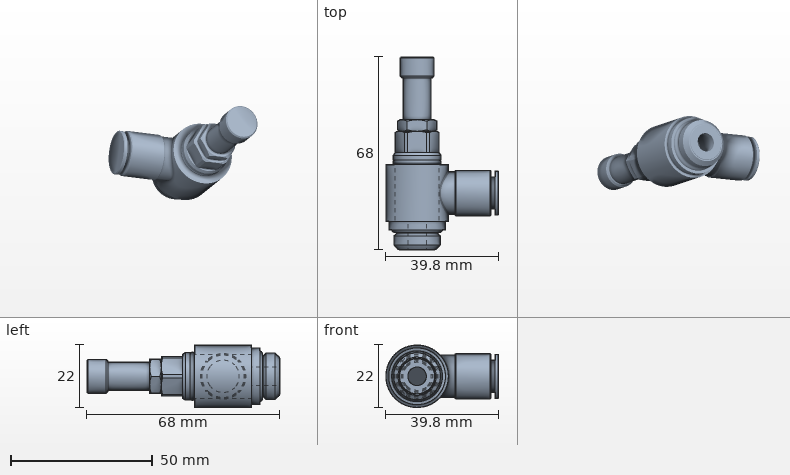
import cadquery as cq
import math


housing_radius = 11.0
housing_start = 10.0
housing_length = 20.0
housing_end = housing_start + housing_length
branch_y = housing_start + housing_length / 2

neck_radius = 7.55
neck_fillet = 0.35
socket_radius = 8.0
socket_start = 13.3
socket_end = 26.05
socket_chamfer = 0.35
release_stem_radius = 5.7
release_flange_radius = 7.75
release_flange_start = 27.55
release_flange_chamfer = 0.3
branch_end = 28.75

thread_radius = 8.2
end_face_radius = 6.7
end_boss_radius = 6.3
end_boss_height = 0.15
end_chamfer_length = 1.8
relief_radius = 7.2
relief_start = 5.85
relief_chamfer = thread_radius - relief_radius
flange_radius = 10.0
flange_start = 7.0
seal_ring_radius = 7.75
seal_ring_y = 7.3
seal_section_radius = 1.2

collar_radius = 8.4
journal_radius = 7.75
bead_radius = 8.5
collar_start = 31.55
collar_chamfer_start = 33.2
collar_face_radius = 7.75
collar_end = 34.3

large_hex_flats = 14.0
large_hex_corner_radius = 7.75
small_hex_flats = 12.05
small_hex_corner_radius = small_hex_flats / math.sqrt(3)
large_hex_end = 41.75
small_hex_end = 45.8
hex_chamfer_slope = math.tan(math.radians(30))

stem_radius = 4.95
knob_radius = 6.0
knob_start = 60.6
knob_inner_chamfer = 0.6
knob_outer_chamfer = 0.5
spindle_length = 68.0

bore_radius = 3.25
bore_depth = housing_start


def cylinder_y(radius, start, end):
    """Cylinder about the Y axis from y = start to y = end."""
    return cq.Workplane("XZ", origin=(0, start, 0)).circle(radius).extrude(start - end)


def turn_about_y(profile):
    """Revolve a closed (radius, y) profile about the Y axis."""
    return profile.close().revolve(360, (0, 0, 0), (0, 1, 0))


def hex_section(flats, corner_radius, start, end, chamfer_start):
    """Hexagonal prism along Y, flats facing +/-Z, turned to the corner radius and chamfered."""
    across_corners = 2 * flats / math.sqrt(3)
    prism = cq.Workplane("XZ", origin=(0, start, 0)).polygon(6, across_corners).extrude(start - end)
    chamfer_radius = flats / 2
    chamfer_length = (corner_radius - chamfer_radius) * hex_chamfer_slope
    envelope = cq.Workplane("XY").moveTo(0, start)
    if chamfer_start:
        envelope = envelope.lineTo(chamfer_radius, start)
        envelope = envelope.lineTo(corner_radius, start + chamfer_length)
    else:
        envelope = envelope.lineTo(corner_radius, start)
    envelope = envelope.lineTo(corner_radius, end - chamfer_length)
    envelope = envelope.lineTo(chamfer_radius, end)
    envelope = envelope.lineTo(0, end)
    return prism.intersect(turn_about_y(envelope))


def make_branch_socket():
    """Push-in socket with its release collar, turned about the branch axis."""
    return (
        cq.Workplane("XY", origin=(0, branch_y, 0))
        .moveTo(socket_start, 0)
        .lineTo(socket_start, socket_radius - socket_chamfer)
        .lineTo(socket_start + socket_chamfer, socket_radius)
        .lineTo(socket_end - socket_chamfer, socket_radius)
        .lineTo(socket_end, socket_radius - socket_chamfer)
        .lineTo(socket_end, release_stem_radius)
        .lineTo(release_flange_start, release_stem_radius)
        .lineTo(release_flange_start, release_flange_radius)
        .lineTo(branch_end - release_flange_chamfer, release_flange_radius)
        .lineTo(branch_end, release_flange_radius - release_flange_chamfer)
        .lineTo(branch_end, 0)
        .close()
        .revolve(360, (0, 0, 0), (1, 0, 0))
    )


def make_housing():
    """Sleeve and filleted branch neck with its socket, bored for the spindle journal."""
    sleeve = cylinder_y(housing_radius, housing_start, housing_end)
    neck = cq.Workplane("YZ", origin=(0, branch_y, 0)).circle(neck_radius).extrude(socket_start)
    neck_root_point = (math.sqrt(housing_radius**2 - neck_radius**2), branch_y, neck_radius)
    body = sleeve.union(neck)
    body = body.edges(cq.selectors.NearestToPointSelector(neck_root_point)).fillet(neck_fillet)
    return body.union(make_branch_socket()).cut(cylinder_y(journal_radius, housing_start, housing_end))


def make_threaded_end():
    """Raised end face, thread, relief, round sealing ring and flange, up to the housing."""
    seal_inner_y = seal_ring_y - math.sqrt(seal_section_radius**2 - (seal_ring_radius - relief_radius) ** 2)
    seal_outer_radius = seal_ring_radius + math.sqrt(
        seal_section_radius**2 - (seal_ring_y - flange_start) ** 2
    )
    seal_diagonal = seal_section_radius * math.sqrt(0.5)
    profile = (
        cq.Workplane("XY")
        .lineTo(end_boss_radius - end_boss_height, 0)
        .lineTo(end_boss_radius, end_boss_height)
        .lineTo(end_face_radius, end_boss_height)
        .lineTo(thread_radius, end_chamfer_length)
        .lineTo(thread_radius, relief_start - relief_chamfer)
        .lineTo(relief_radius, relief_start)
        .lineTo(relief_radius, seal_inner_y)
        .threePointArc(
            (seal_ring_radius + seal_diagonal, seal_ring_y - seal_diagonal),
            (seal_outer_radius, flange_start),
        )
        .lineTo(flange_radius, flange_start)
        .lineTo(flange_radius, housing_start)
        .lineTo(0, housing_start)
    )
    return turn_about_y(profile)


def make_collar():
    """Journal inside the housing, then the rounded bead and the collar beyond it."""
    profile = (
        cq.Workplane("XY")
        .moveTo(0, housing_start)
        .lineTo(journal_radius, housing_start)
        .lineTo(journal_radius, housing_end)
        .threePointArc(
            (bead_radius, (housing_end + collar_start) / 2),
            (journal_radius, collar_start),
        )
        .lineTo(collar_radius, collar_start)
        .lineTo(collar_radius, collar_chamfer_start)
        .lineTo(collar_face_radius, collar_end)
        .lineTo(0, collar_end)
    )
    return turn_about_y(profile)


def make_stem():
    """Adjusting stem and its knob."""
    profile = (
        cq.Workplane("XY")
        .moveTo(0, small_hex_end)
        .lineTo(stem_radius, small_hex_end)
        .lineTo(stem_radius, knob_start)
        .lineTo(knob_radius - knob_inner_chamfer, knob_start)
        .lineTo(knob_radius, knob_start + knob_inner_chamfer)
        .lineTo(knob_radius, spindle_length - knob_outer_chamfer)
        .lineTo(knob_radius - knob_outer_chamfer, spindle_length)
        .lineTo(0, spindle_length)
    )
    return turn_about_y(profile)


def make_spindle():
    """Threaded end, collar, two hexagons and stem as one solid with a blind bore."""
    large_hex = hex_section(large_hex_flats, large_hex_corner_radius, collar_end, large_hex_end, False)
    small_hex = hex_section(small_hex_flats, small_hex_corner_radius, large_hex_end, small_hex_end, True)
    body = make_threaded_end()
    for section in (make_collar(), large_hex, small_hex, make_stem()):
        body = body.union(section)
    return body.cut(cylinder_y(bore_radius, 0, bore_depth))


housing = make_housing()
spindle = make_spindle()
result = cq.Compound.makeCompound([housing.val(), spindle.val()])